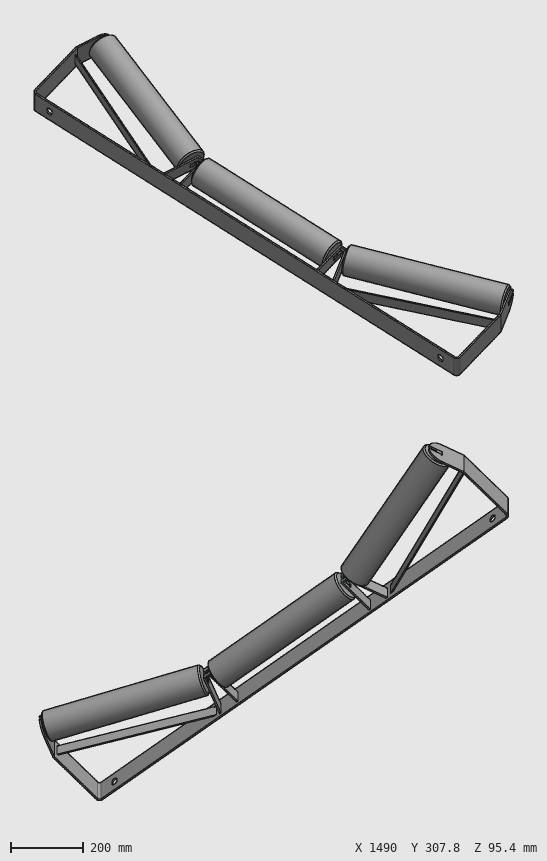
import cadquery as cq
import math


frame_length = 1490.0
strip_width = 80.0
plate = 5.0
corner_radius = 12.0
wall_height = 197.0
ear_length = 112.0
trough_angle = 20.0
mount_slot_width = 18.0
mount_slot_height = 27.0
mount_slot_offset = 685.0

roller_length = 466.0
roller_diameter = 89.0
roller_chamfer = 5.0
shaft_diameter = 20.0
shaft_flat_width = 13.0
end_gap = 4.2
roller_tilt = 0.8
centre_roller_place = (0, 98.0, -6.0)
side_roller_place = (-490.0, 188.0, -3.0)

bracket_height = 125.0
bracket_width = 45.0

strut_width = 40.0
strut_thickness = 4.0
strut_wall_gap = 2.2
strut_wall_top = 188.0
strut_foot_offset = 316.0
strut_angle = 23.0

half_length = frame_length / 2
roller_radius = roller_diameter / 2
shaft_half_length = roller_length / 2 + end_gap + plate
trough_sin = math.sin(math.radians(trough_angle))
trough_cos = math.cos(math.radians(trough_angle))
trough_tan = trough_sin / trough_cos


def mirrored(body):
    """The right-hand copy of a left-hand body."""
    return body.mirror("YZ")


def place_centre(body):
    return body.translate(centre_roller_place)


def place_side(body):
    """Lean a body that lies along X into the left-hand trough position."""
    leaned = body.rotate((0, 0, 0), (0, 1, 0), roller_tilt)
    return leaned.rotate((0, 0, 0), (0, 0, 1), -trough_angle).translate(side_roller_place)


def make_roller():
    """Roller along X with chamfered rims and a shaft flattened on its +Z and -Z sides."""
    half = roller_length / 2
    shell = (
        cq.Workplane("XZ")
        .moveTo(-half, 0)
        .lineTo(-half, roller_radius - roller_chamfer)
        .lineTo(-half + roller_chamfer, roller_radius)
        .lineTo(half - roller_chamfer, roller_radius)
        .lineTo(half, roller_radius - roller_chamfer)
        .lineTo(half, 0)
        .close()
        .revolve(360, (0, 0, 0), (1, 0, 0))
    )
    shaft = cq.Workplane("YZ").circle(shaft_diameter / 2).extrude(shaft_half_length, both=True)
    flats = cq.Workplane().box(2 * shaft_half_length, shaft_diameter, shaft_flat_width)
    return shell.union(shaft.intersect(flats))


def make_shaft_slots():
    """Cutters at both shaft ends, open toward +Y, that receive the flattened shaft."""
    depth = roller_diameter
    cutter_length = 4 * plate
    slots = cq.Workplane()
    for side in (-1, 1):
        slot = cq.Workplane().box(cutter_length, depth, shaft_flat_width)
        slots = slots.add(
            slot.translate((side * (shaft_half_length - plate / 2), (depth - shaft_diameter) / 2, 0))
        )
    return slots.combine()


def make_ear():
    """Left ear: a plate leaning inward from the wall top, with a semicircular end."""
    bend = cq.Plane(
        origin=(-half_length, wall_height, 0),
        xDir=(trough_sin, trough_cos, 0),
        normal=(trough_cos, -trough_sin, 0),
    )
    half_width = strip_width / 2
    straight = ear_length - half_width
    return (
        cq.Workplane(bend)
        .moveTo(0, -half_width)
        .lineTo(straight, -half_width)
        .threePointArc((ear_length, 0), (straight, half_width))
        .lineTo(0, half_width)
        .close()
        .extrude(plate)
    )


def make_frame(side_slots):
    """Base strip with two upright walls, slotted ears and mounting slots."""
    outer = (
        cq.Workplane("XY")
        .rect(frame_length, 2 * wall_height)
        .extrude(strip_width / 2, both=True)
        .edges("|Z")
        .fillet(corner_radius)
    )
    inner = (
        cq.Workplane("XY")
        .rect(frame_length - 2 * plate, 2 * (wall_height - plate))
        .extrude(strip_width / 2, both=True)
        .edges("|Z")
        .fillet(corner_radius - plate)
    )
    lower_half = cq.Workplane().box(frame_length, wall_height, strip_width)
    channel = outer.cut(inner).translate((0, wall_height, 0))
    channel = channel.intersect(lower_half.translate((0, wall_height / 2, 0)))

    mount_slots = (
        cq.Workplane("XZ")
        .pushPoints([(-mount_slot_offset, 0), (mount_slot_offset, 0)])
        .slot2D(mount_slot_height, mount_slot_width, 90)
        .extrude(plate, both=True)
    )
    ear = make_ear().cut(side_slots)
    return channel.cut(mount_slots).union(ear).union(mirrored(ear))


def make_bracket(centre_slots, side_slots):
    """Left folded bracket: upright leg, flat top and a leg square to the side roller."""
    reach = roller_length / 2 + end_gap
    upright_x = -reach
    lean_x = side_roller_place[0] + reach * trough_cos
    lean_y = side_roller_place[1] - reach * trough_sin
    leg_width = plate / trough_cos

    def lean_at(y):
        """X of the leaning leg's outer face at height y."""
        return lean_x + (y - lean_y) * trough_tan

    under_top = bracket_height - plate
    outline = [
        (lean_at(plate), plate),
        (lean_at(bracket_height), bracket_height),
        (upright_x, bracket_height),
        (upright_x, plate),
        (upright_x - plate, plate),
        (upright_x - plate, under_top),
        (lean_at(under_top) + leg_width, under_top),
        (lean_at(plate) + leg_width, plate),
    ]
    bracket = cq.Workplane("XY").polyline(outline).close().extrude(bracket_width / 2, both=True)
    bracket = bracket.translate((0, 0, centre_roller_place[2]))
    return bracket.cut(centre_slots).cut(side_slots)


def make_strut():
    """Left diagonal strut standing on the base strip, its upper end just clear of the wall."""
    wall_x = -half_length + plate + strut_wall_gap
    slope = math.radians(strut_angle)
    outline = [
        (wall_x, strut_wall_top),
        (wall_x, strut_wall_top - strut_thickness / math.cos(slope)),
        (-strut_foot_offset - strut_thickness / math.sin(slope), plate),
        (-strut_foot_offset, plate),
    ]
    return cq.Workplane("XY").polyline(outline).close().extrude(strut_width / 2, both=True)


centre_slots = place_centre(make_shaft_slots())
side_slots = place_side(make_shaft_slots())

frame = make_frame(side_slots)
bracket = make_bracket(centre_slots, side_slots)
strut = make_strut()
centre_roller = place_centre(make_roller())
side_roller = place_side(make_roller())

bodies = [*frame.solids().vals(), *centre_roller.solids().vals()]
for body in (bracket, strut, side_roller):
    bodies += body.solids().vals()
    bodies += mirrored(body).solids().vals()

result = cq.Compound.makeCompound(bodies)